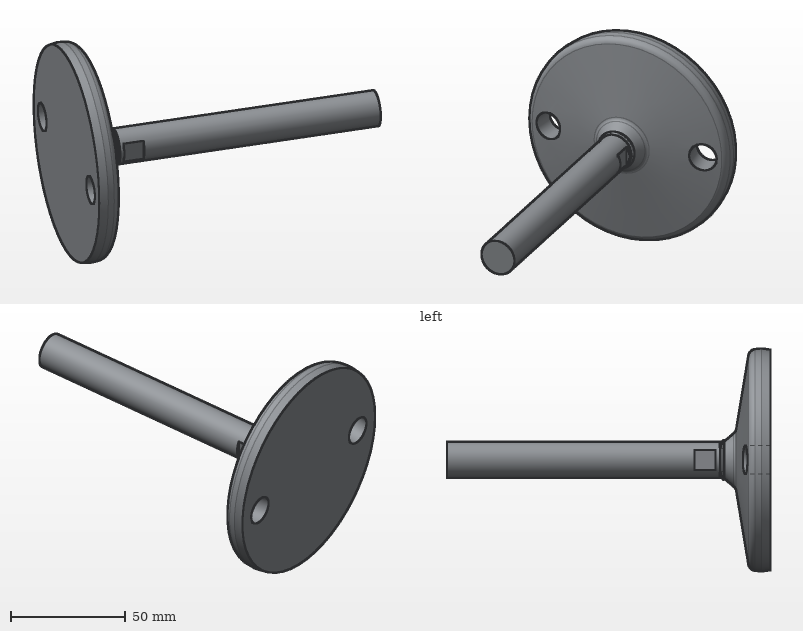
import cadquery as cq
import math


base_dia = 98.0
base_radius = base_dia / 2
underside_radius = 48.4
rim_widest_y = 4.0
rim_top_y = 6.8
rim_top_radius = 48.7
shoulder_radius = 46.0
shoulder_y = 9.8
shoulder_bulge = 0.5

collar_bottom_radius = 13.3
collar_bottom_y = 15.2
collar_blend_radius = 11.8
collar_blend_y = 16.2
collar_top_radius = 8.2
collar_top_y = 20.3

lip_radius = 8.8
lip_y = 20.6
cap_mid_radius = 7.4
cap_mid_y = 21.6
cap_top_radius = 5.4
cap_top_y = 22.0

hole_dia = 12.5
hole_offset = 35.6
hole_tilt = math.atan2(collar_bottom_y - shoulder_y, shoulder_radius - collar_bottom_radius)
hole_reach = 14.2

stem_dia = 16.0
stem_radius = stem_dia / 2
stem_bottom_y = 22.3
stem_top_y = 142.0
neck_top_radius = 5.7
neck_bottom_radius = 4.5
neck_bottom_y = 20.3

flat_spacing = 13.3
flat_bottom_y = 24.1
flat_length = 9.2


def revolve_about_y(outline):
    """Turn a closed (radius, y) outline once around the Y axis."""
    return outline.close().revolve(360, (0, 0, 0), (0, 1, 0))


def make_neck():
    """Tapered end of the stem, also used to shape its socket."""
    return revolve_about_y(
        cq.Workplane("XY")
        .moveTo(0, neck_bottom_y)
        .lineTo(neck_bottom_radius, neck_bottom_y)
        .lineTo(neck_top_radius, stem_bottom_y)
        .lineTo(0, stem_bottom_y)
    )


def make_hole_cutter(side):
    """Tilted cylinder for one hole; side is -1 or +1 along X and the hole leans outward."""
    lean_x = side * math.sin(hole_tilt)
    lean_y = math.cos(hole_tilt)
    start = cq.Vector(side * hole_offset - hole_reach * lean_x, -hole_reach * lean_y, 0)
    direction = cq.Vector(lean_x, lean_y, 0)
    return cq.Workplane(cq.Solid.makeCylinder(hole_dia / 2, 2 * hole_reach, start, direction))


def make_base():
    """Base plate with collar, lip, neck socket and two mounting holes."""
    base = revolve_about_y(
        cq.Workplane("XY")
        .lineTo(underside_radius, 0)
        .lineTo(base_radius, rim_widest_y)
        .lineTo(rim_top_radius, rim_top_y)
        .sagittaArc((shoulder_radius, shoulder_y), -shoulder_bulge)
        .lineTo(collar_bottom_radius, collar_bottom_y)
        .tangentArcPoint((collar_blend_radius, collar_blend_y), relative=False)
        .lineTo(collar_top_radius, collar_top_y)
        .lineTo(lip_radius, lip_y)
        .threePointArc((cap_mid_radius, cap_mid_y), (cap_top_radius, cap_top_y))
        .lineTo(0, cap_top_y)
    )
    base = base.cut(make_neck())
    for side in (-1, 1):
        base = base.cut(make_hole_cutter(side))
    return base


def make_stem():
    """Plain round stem with a tapered neck and two opposite wrench flats."""
    stem = revolve_about_y(
        cq.Workplane("XY")
        .moveTo(0, stem_bottom_y)
        .lineTo(stem_radius, stem_bottom_y)
        .lineTo(stem_radius, stem_top_y)
        .lineTo(0, stem_top_y)
    ).union(make_neck())
    flat_cutter_x = (flat_spacing + stem_dia) / 2
    for side in (-1, 1):
        cutter = cq.Workplane("XY").box(stem_dia, flat_length, stem_dia)
        stem = stem.cut(cutter.translate((
            side * flat_cutter_x,
            flat_bottom_y + flat_length / 2,
            0,
        )))
    return stem


base = make_base()
stem = make_stem()

result = cq.Compound.makeCompound([base.val(), stem.val()])